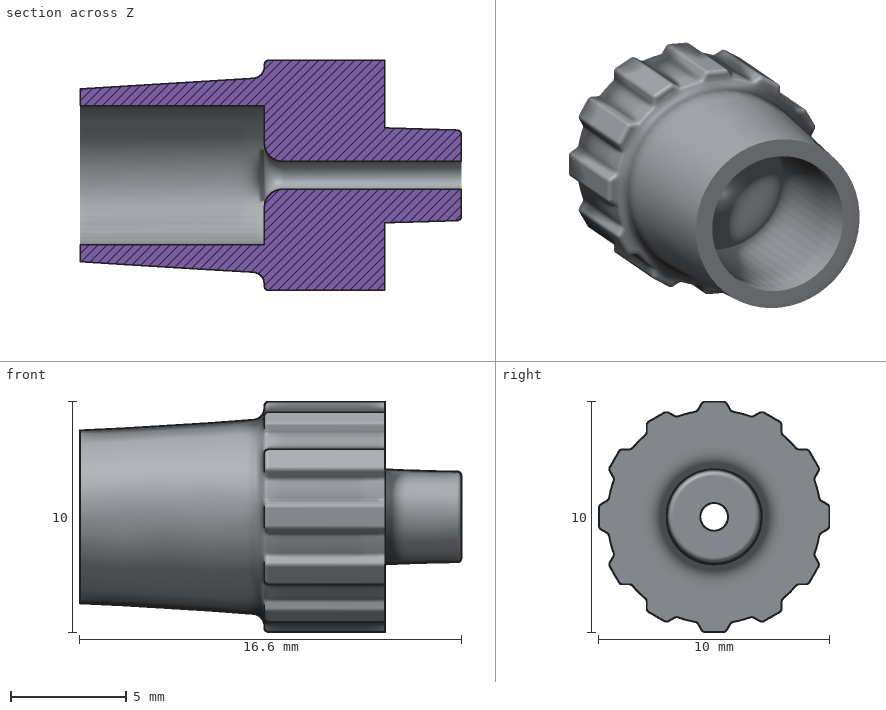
import cadquery as cq
import math

LENGTH = 16.55
KNOB_START = 8.0
KNOB_END = 13.24

SLEEVE_MOUTH_RADIUS = 3.75
SLEEVE_TAPER = math.radians(3.5)
FLARE_RADIUS = 0.5

BORE_DIAMETER = 6.0
BORE_DEPTH = KNOB_START
HOLE_DIAMETER = 1.19
HOLE_ENTRY_FILLET = 0.8

KNOB_DIAMETER = 10.0
VALLEY_DIAMETER = 9.27
RIB_COUNT = 12
RIB_CREST_WIDTH = 1.0
RIB_FLANK_DRAFT = math.radians(30)
RIB_FILLET = 0.2
KNOB_FRONT_FILLET = 0.2

NOZZLE_BASE_DIAMETER = 4.14
NOZZLE_TIP_DIAMETER = 3.94
NOZZLE_TIP_FILLET = 0.2

FLARE_CENTER_X = KNOB_START - FLARE_RADIUS
FLARE_CENTER_Y = (
    SLEEVE_MOUTH_RADIUS
    + FLARE_CENTER_X * math.tan(SLEEVE_TAPER)
    + FLARE_RADIUS / math.cos(SLEEVE_TAPER)
)

TOLERANCE = 0.002


def revolve_about_x(profile):
    """Close an XY profile and revolve it a full turn about the X axis."""
    return profile.close().revolve(360, (0, 0, 0), (1, 0, 0))


def flare_point(angle):
    """Point on the flare arc at an angle measured from the +X direction."""
    return (
        FLARE_CENTER_X + FLARE_RADIUS * math.cos(angle),
        FLARE_CENTER_Y + FLARE_RADIUS * math.sin(angle),
    )


def make_ribbed_bar():
    """Round bar with flat-topped, sloping-sided ribs, rounded at their crests and roots."""
    base = cq.Workplane("YZ")
    bar = base.circle(VALLEY_DIAMETER / 2).extrude(KNOB_END)
    crest_radius = KNOB_DIAMETER / 2
    crest_half_width = RIB_CREST_WIDTH / 2
    foot_radius = VALLEY_DIAMETER / 2 - 2 * RIB_FILLET
    foot_half_width = crest_half_width + (crest_radius - foot_radius) * math.tan(RIB_FLANK_DRAFT)
    rib = base.polyline([
        (crest_radius, crest_half_width),
        (crest_radius, -crest_half_width),
        (foot_radius, -foot_half_width),
        (foot_radius, foot_half_width),
    ]).close().extrude(KNOB_END)
    for index in range(RIB_COUNT):
        bar = bar.union(rib.rotate((0, 0, 0), (1, 0, 0), index * 360 / RIB_COUNT))
    return bar.edges("|X").fillet(RIB_FILLET)


def make_turned_envelope():
    """Sleeve cone and flare, opening out to a cylinder that clears the ribs."""
    clear_radius = KNOB_DIAMETER
    tangent_angle = SLEEVE_TAPER - math.pi / 2
    return revolve_about_x(
        cq.Workplane("XY")
        .lineTo(0, SLEEVE_MOUTH_RADIUS)
        .lineTo(*flare_point(tangent_angle))
        .threePointArc(flare_point(tangent_angle / 2), flare_point(0))
        .lineTo(KNOB_START, clear_radius)
        .lineTo(KNOB_END, clear_radius)
        .lineTo(KNOB_END, 0)
    )


def is_knob_front_edge(edge):
    """True for the knob's front outline, false for the flare's own boundary."""
    box = edge.BoundingBox()
    if box.xmin < FLARE_CENTER_X + FLARE_RADIUS / 2 or box.xmax > KNOB_START + TOLERANCE:
        return False
    ends = (edge.startPoint(), edge.endPoint())
    if any(math.hypot(p.y, p.z) < VALLEY_DIAMETER / 2 - TOLERANCE for p in ends):
        return False
    on_flare_rim = edge.geomType() == "CIRCLE" and abs(edge.radius() - FLARE_CENTER_Y) < TOLERANCE
    return not on_flare_rim


def make_sleeve_and_knob():
    """Turn the sleeve from the ribbed bar and round the knob's front outline."""
    body = make_ribbed_bar().intersect(make_turned_envelope())
    front_edges = [edge for edge in body.edges().vals() if is_knob_front_edge(edge)]
    return body.newObject(front_edges).fillet(KNOB_FRONT_FILLET)


def make_nozzle():
    """Slightly tapered spigot behind the knob with a rounded tip."""
    nozzle = revolve_about_x(
        cq.Workplane("XY")
        .moveTo(KNOB_END, 0)
        .lineTo(KNOB_END, NOZZLE_BASE_DIAMETER / 2)
        .lineTo(LENGTH, NOZZLE_TIP_DIAMETER / 2)
        .lineTo(LENGTH, 0)
    )
    return nozzle.faces(">X").edges().fillet(NOZZLE_TIP_FILLET)


def make_cavity():
    """Blind bore, rounded funnel in its floor, and the hole out of the nozzle."""
    hole_radius = HOLE_DIAMETER / 2
    return revolve_about_x(
        cq.Workplane("XY")
        .lineTo(0, BORE_DIAMETER / 2)
        .lineTo(BORE_DEPTH, BORE_DIAMETER / 2)
        .lineTo(BORE_DEPTH, hole_radius + HOLE_ENTRY_FILLET)
        .radiusArc((BORE_DEPTH + HOLE_ENTRY_FILLET, hole_radius), -HOLE_ENTRY_FILLET)
        .lineTo(LENGTH, hole_radius)
        .lineTo(LENGTH, 0)
    )


result = make_sleeve_and_knob().union(make_nozzle()).cut(make_cavity())